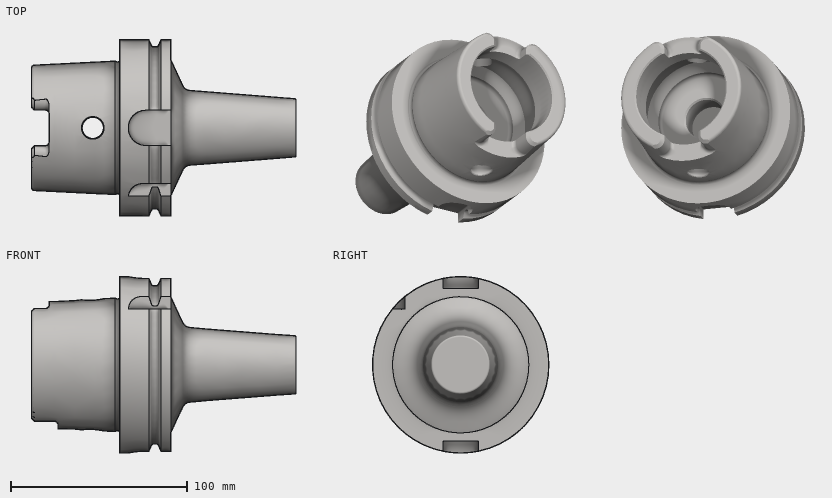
import cadquery as cq
import math


shank_length = 50.0
gauge_radius = 38.0
taper_slope = 0.05
shank_tip_radius = gauge_radius - taper_slope * shank_length
shank_tip_fillet = 1.8

relief_start = -2.5
relief_run = 0.8
relief_radius = 37.4
face_recess_radius = 39.5
face_recess_depth = 0.4
relief_fillet = 1.2

flange_radius = 50.0
flange_width = 29.0
groove_center = 20.0
groove_floor_radius = 46.0
groove_half_width_top = 3.45
groove_half_width_floor = 1.65
groove_fillet = 1.2

nose_end = 100.0
nose_tip_radius = 16.5
nose_slope = math.tan(math.radians(4.5))
nose_tip_fillet = 1.0
shoulder_radius = 38.6
shoulder_slope = math.tan(math.radians(65))
shoulder_fillet = 4.5

bore_radius = 26.5
bore_entry_chamfer = 0.8
bore_lip_length = 20.0
chamber_radius = 31.5
chamber_shoulder_slope = math.tan(math.radians(30))
chamber_length = 20.1
bore_depth = 48.0
bore_floor_fillet = 1.8
pocket_radius = 12.4
pocket_floor_radius = 11.5
pocket_depth = 14.0

slot_half_width = 10.0
slot_wall_height = 27.0
slot_flare_radius = 5.0
slot_depth_top = 10.0
slot_depth_bottom = 15.0
slot_floor_fillet = 2.0
slot_mouth_chamfer = 1.8

radial_hole_radius = 6.0
radial_hole_x = -15.2
radial_hole_chamfer = 0.4

keyway_radius = 10.0
keyway_start = 4.9
keyway_floor = 43.2
keyway_floor_fillet = 0.5
notch_floor = 31.6
notch_end_radius = 8.0
notch_start = 4.9

clearance = 5.0
slot_reach = gauge_radius + clearance


def edges_at(body, x, radius):
    """Circular edges of a turned body at the given axial position and radius."""
    tolerance = 1e-3
    return body.edges("%CIRCLE").filter(
        lambda e: abs(e.Center().x - x) < tolerance and abs(e.radius() - radius) < tolerance
    )


def turned_body():
    corner_x = (
        shoulder_radius - nose_tip_radius + shoulder_slope * flange_width - nose_slope * nose_end
    ) / (shoulder_slope - nose_slope)
    corner_radius = nose_tip_radius + nose_slope * (nose_end - corner_x)
    groove_left = groove_center - groove_half_width_floor
    groove_right = groove_center + groove_half_width_floor
    outline = [
        (-shank_length, 0),
        (-shank_length, shank_tip_radius),
        (relief_start, gauge_radius + taper_slope * relief_start),
        (relief_start + relief_run, relief_radius),
        (face_recess_depth, relief_radius),
        (0, face_recess_radius),
        (0, flange_radius),
        (groove_center - groove_half_width_top, flange_radius),
        (groove_left, groove_floor_radius),
        (groove_right, groove_floor_radius),
        (groove_center + groove_half_width_top, flange_radius),
        (flange_width, flange_radius),
        (flange_width, shoulder_radius),
        (corner_x, corner_radius),
        (nose_end, nose_tip_radius),
        (nose_end, 0),
    ]
    body = cq.Workplane("XY").polyline(outline).close().revolve(360, (0, 0, 0), (1, 0, 0))
    rounded_edges = [
        (-shank_length, shank_tip_radius, shank_tip_fillet),
        (relief_start + relief_run, relief_radius, relief_fillet),
        (face_recess_depth, relief_radius, relief_fillet),
        (groove_left, groove_floor_radius, groove_fillet),
        (groove_right, groove_floor_radius, groove_fillet),
        (corner_x, corner_radius, shoulder_fillet),
        (nose_end, nose_tip_radius, nose_tip_fillet),
    ]
    for x, radius, fillet in rounded_edges:
        body = edges_at(body, x, radius).fillet(fillet)
    return body


def clamping_bore():
    mouth = -shank_length
    lip_end = mouth + bore_lip_length
    chamber_end = lip_end + chamber_length
    shoulder_run = (chamber_radius - bore_radius) * chamber_shoulder_slope
    floor = mouth + bore_depth
    pocket_chamfer = pocket_radius - pocket_floor_radius
    outline = [
        (mouth, 0),
        (mouth, bore_radius + bore_entry_chamfer),
        (mouth + bore_entry_chamfer, bore_radius),
        (lip_end, bore_radius),
        (lip_end + shoulder_run, chamber_radius),
        (chamber_end, chamber_radius),
        (chamber_end + chamber_radius - bore_radius, bore_radius),
        (floor, bore_radius),
        (floor, pocket_radius),
        (floor + pocket_chamfer, pocket_floor_radius),
        (floor + pocket_depth, pocket_floor_radius),
        (floor + pocket_depth, 0),
    ]
    bore = cq.Workplane("XY").polyline(outline).close().revolve(360, (0, 0, 0), (1, 0, 0))
    return edges_at(bore, floor, bore_radius).fillet(bore_floor_fillet)


def slot_section(x, growth):
    """Slot outline at axial position x, with its walls moved outward by `growth`."""
    half_width = slot_half_width + growth
    flare = slot_flare_radius - growth
    flare_y = half_width + flare
    flare_top = slot_wall_height + flare
    bend = flare * math.sqrt(0.5)
    bend_y = flare_y - bend
    bend_z = slot_wall_height + bend
    return (
        cq.Workplane("YZ", origin=(x, 0, 0))
        .moveTo(-half_width, 0)
        .lineTo(half_width, 0)
        .lineTo(half_width, slot_wall_height)
        .threePointArc((bend_y, bend_z), (flare_y, flare_top))
        .lineTo(slot_reach, flare_top)
        .lineTo(slot_reach, slot_reach)
        .lineTo(-slot_reach, slot_reach)
        .lineTo(-slot_reach, flare_top)
        .lineTo(-flare_y, flare_top)
        .threePointArc((-bend_y, bend_z), (-half_width, slot_wall_height))
        .close()
    )


def is_slot_wall(edge):
    """True for the edges where the slot floor meets the walls and their flares."""
    center = edge.Center()
    margin = slot_floor_fillet / 2
    flare_top = slot_wall_height + slot_flare_radius
    return margin < center.z < flare_top + margin and abs(center.y) < slot_reach - margin


def drive_slot(depth):
    """Cutter for one drive slot on the +Z side of the shank mouth."""
    mouth = -shank_length
    slot = slot_section(mouth, 0).extrude(depth)
    slot = slot.faces(">X").edges().filter(is_slot_wall).fillet(slot_floor_fillet)
    wide = slot_section(mouth, slot_mouth_chamfer).val()
    narrow = slot_section(mouth + slot_mouth_chamfer, 0).val()
    mouth_flare = cq.Solid.makeLoft([wide, narrow], True)
    return slot.union(cq.Workplane(mouth_flare))


def keyway():
    """Cutter for the round-ended flat keyway on the +Z side of the flange."""
    height = flange_radius + clearance - keyway_floor
    end_center_x = keyway_start + keyway_radius
    slot = (
        cq.Workplane("XY", origin=(0, 0, keyway_floor))
        .moveTo(flange_width, keyway_radius)
        .lineTo(end_center_x, keyway_radius)
        .threePointArc((keyway_start, 0), (end_center_x, -keyway_radius))
        .lineTo(flange_width, -keyway_radius)
        .close()
        .extrude(height)
    )
    return slot.faces("<Z").edges("not >X").fillet(keyway_floor_fillet)


def orientation_notch():
    """Cutter for the square corner notch on the -Y, +Z side of the flange."""
    reach = flange_radius + clearance
    tangent_x = notch_start + notch_end_radius
    bend = notch_end_radius * math.sqrt(0.5)
    center_y = -notch_floor - notch_end_radius
    return (
        cq.Workplane("XY", origin=(0, 0, notch_floor))
        .moveTo(flange_width, -notch_floor)
        .lineTo(tangent_x, -notch_floor)
        .threePointArc((tangent_x - bend, center_y + bend), (notch_start, center_y))
        .lineTo(notch_start, -reach)
        .lineTo(flange_width, -reach)
        .close()
        .extrude(reach - notch_floor)
    )


def is_hole_rim(edge):
    """True for the closed edges where the radial hole leaves the outer taper."""
    center = edge.Center()
    on_hole_axis = math.hypot(center.x - radial_hole_x, center.y) < radial_hole_radius / 2
    return edge.IsClosed() and on_hole_axis and abs(center.z) > (chamber_radius + gauge_radius) / 2


def radial_hole(body):
    """Drill both shank walls along Z and break the outer rims."""
    hole = (
        cq.Workplane("XY", origin=(radial_hole_x, 0, 0))
        .circle(radial_hole_radius)
        .extrude(gauge_radius + clearance, both=True)
    )
    drilled = body.cut(hole)
    rims = drilled.edges().filter(is_hole_rim)
    return rims.chamfer(radial_hole_chamfer)


def on_opposite_side(cutter):
    return cutter.rotate((0, 0, 0), (1, 0, 0), 180)


result = turned_body().cut(clamping_bore())
result = result.cut(drive_slot(slot_depth_top))
result = result.cut(on_opposite_side(drive_slot(slot_depth_bottom)))
result = radial_hole(result)
result = result.cut(keyway())
result = result.cut(on_opposite_side(keyway()))
result = result.cut(orientation_notch())